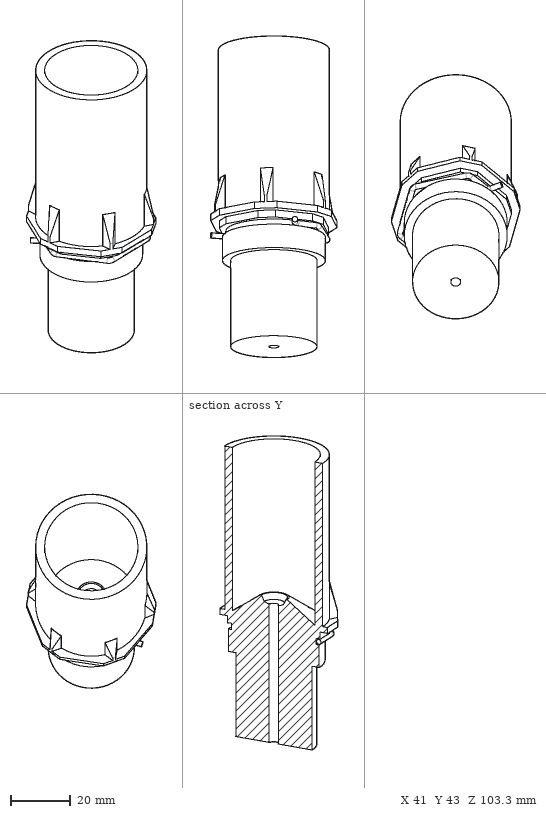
import cadquery as cq
import math

SPIGOT_TOP = 30.0
COLLAR_TOP = 38.1
NUT_BOTTOM = 40.2
FLANGE_BOTTOM = 42.7
FLANGE_TOP = 44.9
TOTAL_HEIGHT = 103.3

TUBE_RADIUS = 37.5 / 2
SPIGOT_RADIUS = 14.6
COLLAR_RADIUS = 17.4
GROOVE_RADIUS = 16.2
HEXAGON_HALF_ANGLE = 30
FLANGE_APOTHEM = 41.0 / 2
FLANGE_CORNER_APOTHEM = 21.5
NUT_APOTHEM = 17.7
NUT_CORNER_APOTHEM = 18.7

RIB_COUNT = 6
RIB_TOP = 57.4
RIB_SHOULDER = 47.2
RIB_ROOT_WIDTH = 4.3
RIB_TIP_WIDTH = 0.9
RIB_ROOT_RADIUS = 17.6

BORE_RADIUS = 15.7
FLOOR_EDGE_HEIGHT = 44.9
FLOOR_ANGLE = 35.0
RIM_OUTER_RADIUS = 5.2
RIM_INNER_RADIUS = 4.6
NOZZLE_STEP_RADIUS = 3.5
NOZZLE_STEP_DEPTH = 2.1
NOZZLE_FUNNEL_DEPTH = 0.7
NOZZLE_RADIUS = 1.7

CLIP_WIRE_DIAMETER = 1.9
CLIP_BEND_RADIUS = 1.7
CLIP_APEX_Y = 18.8
CLIP_SIDE_ANGLE = 28.0
CLIP_WAIST_X = -7.6
CLIP_END_X = -11.6
CLIP_END_Y = 17.8


def disc(radius, bottom, top):
    """Cylinder on the part axis between two heights."""
    return cq.Workplane("XY").workplane(offset=bottom).circle(radius).extrude(top - bottom)


def hexagon(apothem, bottom, top, turn):
    """Hexagonal prism with one flat facing the direction `turn` degrees from +X."""
    corner_circle = 2 * apothem / math.cos(math.radians(HEXAGON_HALF_ANGLE))
    prism = cq.Workplane("XY").workplane(offset=bottom).polygon(6, corner_circle).extrude(top - bottom)
    return prism.rotate((0, 0, 0), (0, 0, 1), turn + HEXAGON_HALF_ANGLE)


def cut_corner_hexagon(apothem, corner_apothem, bottom, top):
    """Hexagonal prism with flats facing +X and -X and its six corners cut off flat."""
    main = hexagon(apothem, bottom, top, 0)
    return main.intersect(hexagon(corner_apothem, bottom, top, HEXAGON_HALF_ANGLE))


def rib(angle):
    """Rib that narrows outwards in plan and slopes down from the tube to the flange edge."""
    tip = FLANGE_CORNER_APOTHEM
    plan = (
        cq.Workplane("XY")
        .workplane(offset=FLANGE_BOTTOM)
        .polyline([
            (RIB_ROOT_RADIUS, -RIB_ROOT_WIDTH / 2),
            (TUBE_RADIUS, -RIB_ROOT_WIDTH / 2),
            (tip, -RIB_TIP_WIDTH / 2),
            (tip, RIB_TIP_WIDTH / 2),
            (TUBE_RADIUS, RIB_ROOT_WIDTH / 2),
            (RIB_ROOT_RADIUS, RIB_ROOT_WIDTH / 2),
        ])
        .close()
        .extrude(RIB_TOP - FLANGE_BOTTOM)
    )
    profile = (
        cq.Workplane("XZ")
        .polyline([
            (RIB_ROOT_RADIUS, FLANGE_BOTTOM),
            (tip, FLANGE_BOTTOM),
            (tip, RIB_SHOULDER),
            (TUBE_RADIUS, RIB_TOP),
            (RIB_ROOT_RADIUS, RIB_TOP),
        ])
        .close()
        .extrude(RIB_ROOT_WIDTH / 2, both=True)
    )
    return plan.intersect(profile).rotate((0, 0, 0), (0, 0, 1), angle)


def bore():
    """Space inside the tube, down over the conical floor and through the nozzle."""
    floor_rise = (BORE_RADIUS - RIM_OUTER_RADIUS) * math.tan(math.radians(FLOOR_ANGLE))
    rim_height = FLOOR_EDGE_HEIGHT + floor_rise
    step_height = rim_height - NOZZLE_STEP_DEPTH
    return (
        cq.Workplane("XZ")
        .polyline([
            (0, 0),
            (NOZZLE_RADIUS, 0),
            (NOZZLE_RADIUS, step_height - NOZZLE_FUNNEL_DEPTH),
            (NOZZLE_STEP_RADIUS, step_height),
            (RIM_INNER_RADIUS, rim_height),
            (RIM_OUTER_RADIUS, rim_height),
            (BORE_RADIUS, FLOOR_EDGE_HEIGHT),
            (BORE_RADIUS, TOTAL_HEIGHT),
            (0, TOTAL_HEIGHT),
        ])
        .close()
        .revolve(360, (0, 0, 0), (0, 1, 0))
    )


def make_clip():
    """Round wire bent along straight stretches around the groove, with two flared ends."""
    wire_radius = CLIP_WIRE_DIAMETER / 2
    back_x = GROOVE_RADIUS + wire_radius
    slope = math.tan(math.radians(CLIP_SIDE_ANGLE))
    height = (COLLAR_TOP + NUT_BOTTOM) / 2
    half = [
        (CLIP_END_X, CLIP_END_Y),
        (CLIP_WAIST_X, CLIP_APEX_Y + CLIP_WAIST_X * slope),
        (0, CLIP_APEX_Y),
        (back_x, CLIP_APEX_Y - back_x * slope),
    ]
    corners = half + [(x, -y) for x, y in reversed(half)]
    sharp_path = cq.Wire.makePolygon([cq.Vector(x, y, height) for x, y in corners])
    bends = sharp_path.Vertices()[1:-1]
    path = sharp_path.fillet(CLIP_BEND_RADIUS, bends)
    end_direction = cq.Vector(corners[1]) - cq.Vector(corners[0])
    section = cq.Plane((CLIP_END_X, CLIP_END_Y, height), (0, 0, 1), end_direction)
    return cq.Workplane(section).circle(wire_radius).sweep(cq.Workplane(path))


def make_housing(clip):
    """Spigot, collar, clip groove, nut, flange and ribbed tube in one piece."""
    body = disc(SPIGOT_RADIUS, 0, SPIGOT_TOP)
    body = body.union(disc(COLLAR_RADIUS, SPIGOT_TOP, COLLAR_TOP))
    body = body.union(disc(GROOVE_RADIUS, COLLAR_TOP, NUT_BOTTOM))
    body = body.union(cut_corner_hexagon(NUT_APOTHEM, NUT_CORNER_APOTHEM, NUT_BOTTOM, FLANGE_BOTTOM))
    body = body.union(cut_corner_hexagon(FLANGE_APOTHEM, FLANGE_CORNER_APOTHEM, FLANGE_BOTTOM, FLANGE_TOP))
    body = body.union(disc(TUBE_RADIUS, FLANGE_TOP, TOTAL_HEIGHT))
    for i in range(RIB_COUNT):
        body = body.union(rib(HEXAGON_HALF_ANGLE + i * 360 / RIB_COUNT))
    return body.cut(bore()).cut(clip)


clip = make_clip()
housing = make_housing(clip)

result = cq.Compound.makeCompound([housing.solids().val(), clip.val()])